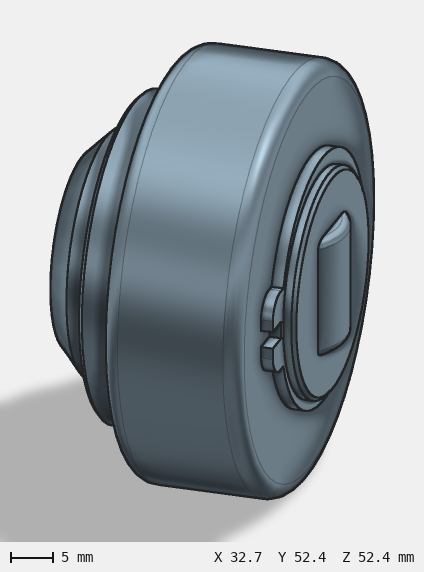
import cadquery as cq
import math

PIN_TIP_LENGTH = 3.0
FLANGE_START = 6.0
ROLLER_START = 11.0
ROLLER_END = 28.0
CLIP_END = 29.5
HUB_END = 30.95
OVERALL_LENGTH = 32.7

PIN_DIAMETER = 30.0
FLANGE_DIAMETER = 40.0
FLANGE_CHAMFER = 0.5
ROLLER_DIAMETER = 52.35
ROLLER_FILLET = 2.0
HUB_DIAMETER = 28.0
HUB_CHAMFER = 0.45

CLIP_RADIUS = 15.65
CLIP_OFFSET = 0.9
LUG_TIP = 17.9
LUG_SHOULDER = 14.7
LUG_HALF_WIDTH = 5.05
LUG_TIP_HALF_WIDTH = 2.45
CLIP_HALF_GAP = 1.05

SIDE_ROLLER_RADIUS = 9.0
SIDE_ROLLER_WIDTH = 15.0
SIDE_ROLLER_FILLET = 1.0


def disc(start, end, diameter):
    """Cylinder on the X axis between two axial positions."""
    return cq.Workplane("YZ", origin=(start, 0, 0)).circle(diameter / 2).extrude(end - start)


def make_clip():
    """Eccentric ring and two corner-rounded lugs, with a gap down to the ring's rim."""
    thickness = CLIP_END - ROLLER_END
    plane = cq.Workplane("YZ", origin=(ROLLER_END, 0, 0))
    ring = plane.center(CLIP_OFFSET, 0).circle(CLIP_RADIUS).extrude(thickness)

    diagonal = math.sqrt(0.5)
    corner_y = -LUG_SHOULDER - (LUG_TIP - LUG_SHOULDER) * diagonal
    corner_z = LUG_TIP_HALF_WIDTH + (LUG_HALF_WIDTH - LUG_TIP_HALF_WIDTH) * diagonal
    lugs = (
        plane.moveTo(0, -LUG_HALF_WIDTH)
        .lineTo(-LUG_SHOULDER, -LUG_HALF_WIDTH)
        .threePointArc((corner_y, -corner_z), (-LUG_TIP, -LUG_TIP_HALF_WIDTH))
        .lineTo(-LUG_TIP, LUG_TIP_HALF_WIDTH)
        .threePointArc((corner_y, corner_z), (-LUG_SHOULDER, LUG_HALF_WIDTH))
        .lineTo(0, LUG_HALF_WIDTH)
        .close()
        .extrude(thickness)
    )
    gap = plane.center(-LUG_TIP / 2, 0).rect(LUG_TIP, 2 * CLIP_HALF_GAP).extrude(thickness)
    return ring.union(lugs.cut(gap))


def make_side_roller():
    """Cylinder with rounded ends; its rim sets the overall length."""
    return (
        cq.Workplane("XY", origin=(OVERALL_LENGTH - SIDE_ROLLER_RADIUS, 0, 0))
        .circle(SIDE_ROLLER_RADIUS)
        .extrude(SIDE_ROLLER_WIDTH / 2, both=True)
        .faces("<Z or >Z")
        .edges()
        .fillet(SIDE_ROLLER_FILLET)
    )


pin = disc(0, FLANGE_START, PIN_DIAMETER).faces("<X").chamfer(PIN_TIP_LENGTH)
flange = disc(FLANGE_START, ROLLER_START, FLANGE_DIAMETER).edges().chamfer(FLANGE_CHAMFER)
roller = disc(ROLLER_START, ROLLER_END, ROLLER_DIAMETER).faces("<X or >X").edges().fillet(ROLLER_FILLET)
hub = disc(ROLLER_END, HUB_END, HUB_DIAMETER).faces(">X").chamfer(HUB_CHAMFER)

result = (
    pin.union(flange)
    .union(roller)
    .union(hub)
    .union(make_clip())
    .union(make_side_roller())
)